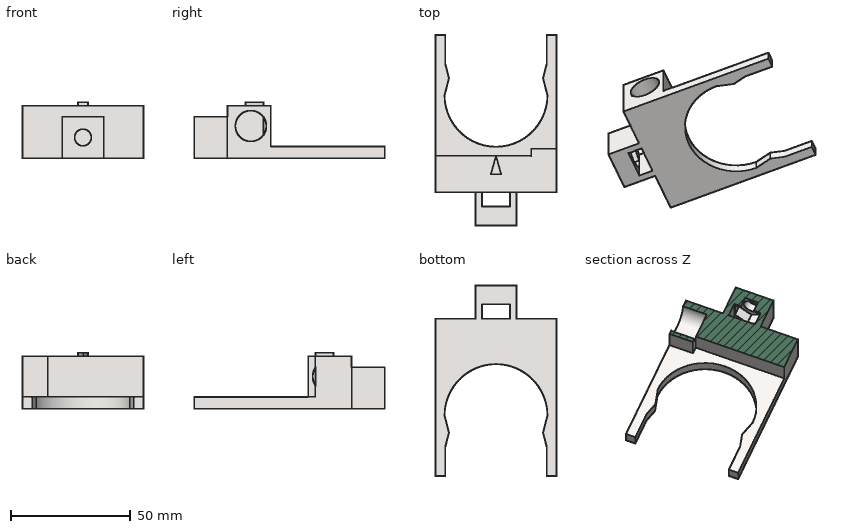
import cadquery as cq
import math

width = 50.8
total_length = 79.89
total_height = 23.5

block_depth = 15.2
arrow_height = 1.5
block_height = total_height - arrow_height

step_length = 10.7
step_depth = 3.0
step_bore_diameter = 12.91
step_bore_wall = 1.95

tongue_length = 13.95
tongue_width = 17.25
tongue_height = 17.4
window_width = 11.7
window_length = 5.95
tongue_hole_diameter = 6.99

nut_sides = 6
nut_across_corners = 12.91
nut_corner_angle = 90
nut_pocket_depth = 4.45

fork_thickness = 5.0
fork_length = total_length - tongue_length
arm_width = 4.25
seat_radius = 21.5
seat_center_y = 40.6
bump_height = 1.5
bump_half_length = 5.85
bump_center_y = 47.75

arrow_width = 4.3
arrow_length = 7.65

half_width = width / 2


def box_between(x_min, x_max, y_min, y_max, z_min, z_max):
    """Axis-aligned box given by its limits."""
    size = (x_max - x_min, y_max - y_min, z_max - z_min)
    return cq.Workplane("XY").box(*size, centered=False).translate((x_min, y_min, z_min))


def bump_circle_meeting_point():
    """Point (+X side) where the lower bump flank runs into the round seat."""
    gap_half = half_width - arm_width
    tip_x = gap_half - bump_height
    flank_length = math.hypot(bump_height, bump_half_length)
    dir_x = bump_height / flank_length
    dir_y = -bump_half_length / flank_length
    rel_y = bump_center_y - seat_center_y
    along = tip_x * dir_x + rel_y * dir_y
    offset = tip_x**2 + rel_y**2 - seat_radius**2
    distance = -along + math.sqrt(along**2 - offset)
    return tip_x + distance * dir_x, bump_center_y + distance * dir_y


def make_fork():
    """Flat plate, open toward +Y, whose opening ends in the round seat."""
    gap_half = half_width - arm_width
    tip_x = gap_half - bump_height
    flank_top_y = bump_center_y + bump_half_length
    meet_x, meet_y = bump_circle_meeting_point()
    opening = (
        cq.Workplane("XY")
        .moveTo(gap_half, fork_length)
        .lineTo(gap_half, flank_top_y)
        .lineTo(tip_x, bump_center_y)
        .lineTo(meet_x, meet_y)
        .threePointArc((0, seat_center_y - seat_radius), (-meet_x, meet_y))
        .lineTo(-tip_x, bump_center_y)
        .lineTo(-gap_half, flank_top_y)
        .lineTo(-gap_half, fork_length)
        .close()
        .extrude(fork_thickness)
    )
    plate = box_between(-half_width, half_width, 0, fork_length, 0, fork_thickness)
    return plate.cut(opening)


def make_block():
    """Main block with the step and the bore that runs along X through the step."""
    block = box_between(-half_width, half_width, 0, block_depth, 0, block_height)
    step_start_x = half_width - step_length
    step_front_y = block_depth + step_depth
    step = box_between(step_start_x, half_width, 0, step_front_y, 0, block_height)

    bore_radius = step_bore_diameter / 2
    bore_y = step_front_y - step_bore_wall - bore_radius
    bore_z = (fork_thickness + block_height) / 2
    bore = (
        cq.Workplane("YZ", origin=(step_start_x, bore_y, bore_z))
        .circle(bore_radius)
        .extrude(step_length)
    )
    return block.union(step).cut(bore)


def make_tongue():
    """Tongue with a vertical window and, in its end wall, a screw hole and a nut pocket."""
    tongue = box_between(-tongue_width / 2, tongue_width / 2, -tongue_length, 0, 0, tongue_height)
    window = box_between(-window_width / 2, window_width / 2, -window_length, 0, 0, tongue_height)
    end_wall = tongue_length - window_length
    window_wall = cq.Workplane("XZ", origin=(0, -window_length, tongue_height / 2))
    hole = window_wall.circle(tongue_hole_diameter / 2).extrude(end_wall)
    nut_pocket = (
        window_wall.transformed(rotate=(0, 0, nut_corner_angle))
        .polygon(nut_sides, nut_across_corners)
        .extrude(nut_pocket_depth)
    )
    return tongue.cut(window).cut(hole).cut(nut_pocket)


def make_arrow():
    """Raised triangle pointing toward +Y, its tip on the front edge of the block."""
    arrow_base_y = block_depth - arrow_length
    return (
        cq.Workplane("XY", origin=(0, 0, block_height))
        .moveTo(-arrow_width / 2, arrow_base_y)
        .lineTo(arrow_width / 2, arrow_base_y)
        .lineTo(0, block_depth)
        .close()
        .extrude(arrow_height)
    )


result = make_fork().union(make_block()).union(make_tongue()).union(make_arrow())